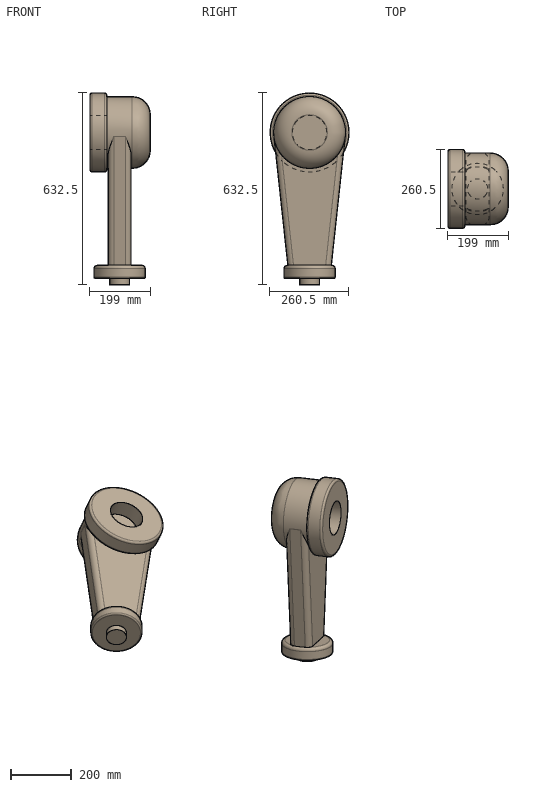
import cadquery as cq
import math

total_height = 632.5
total_length = 199.0

flange_diameter = 260.5
flange_thickness = 55.5
flange_fillet = 7.5
body_diameter = 237.0
dome_fillet = 60.0
bore_diameter = 113.0
bore_depth = 55.5
head_front_x = -98.0
head_center_z = total_height - flange_diameter / 2

pin_diameter = 66.5
pin_length = 21.0
foot_diameter = 169.5
foot_thickness = 43.5
foot_top_fillet = 11.5
foot_bottom_fillet = 5.0
foot_top_z = pin_length + foot_thickness

arm_thickness = 76.0
arm_bottom_half_width = 72.0
arm_fillet = arm_thickness / 4


def make_head():
    flange = (
        cq.Workplane("YZ", origin=(head_front_x, 0, head_center_z))
        .circle(flange_diameter / 2)
        .extrude(flange_thickness)
        .edges()
        .fillet(flange_fillet)
    )
    body = (
        cq.Workplane("YZ", origin=(head_front_x + flange_thickness / 2, 0, head_center_z))
        .circle(body_diameter / 2)
        .extrude(total_length - flange_thickness / 2)
        .faces(">X")
        .edges()
        .fillet(dome_fillet)
    )
    return flange.union(body)


def make_arm():
    body_radius = body_diameter / 2
    center_height = head_center_z - foot_top_z
    corner_distance = math.hypot(arm_bottom_half_width, center_height)
    corner_angle = math.atan2(-center_height, arm_bottom_half_width)
    tangent_angle = corner_angle + math.acos(body_radius / corner_distance)
    tangent_y = body_radius * math.cos(tangent_angle)
    tangent_z = head_center_z + body_radius * math.sin(tangent_angle)
    return (
        cq.Workplane("YZ", origin=(-arm_thickness / 2, 0, 0))
        .moveTo(-arm_bottom_half_width, foot_top_z)
        .lineTo(arm_bottom_half_width, foot_top_z)
        .lineTo(tangent_y, tangent_z)
        .lineTo(-tangent_y, tangent_z)
        .close()
        .extrude(arm_thickness)
        .edges("not (|X or |Y)")
        .fillet(arm_fillet)
    )


def make_base():
    foot = (
        cq.Workplane("XY", origin=(0, 0, pin_length))
        .circle(foot_diameter / 2)
        .extrude(foot_thickness)
        .faces(">Z")
        .edges()
        .fillet(foot_top_fillet)
        .faces("<Z")
        .edges()
        .fillet(foot_bottom_fillet)
    )
    pin = cq.Workplane("XY").circle(pin_diameter / 2).extrude(foot_top_z)
    return foot.union(pin)


def make_bore():
    return (
        cq.Workplane("YZ", origin=(head_front_x, 0, head_center_z))
        .circle(bore_diameter / 2)
        .extrude(bore_depth)
    )


result = make_head().union(make_arm()).union(make_base()).cut(make_bore())